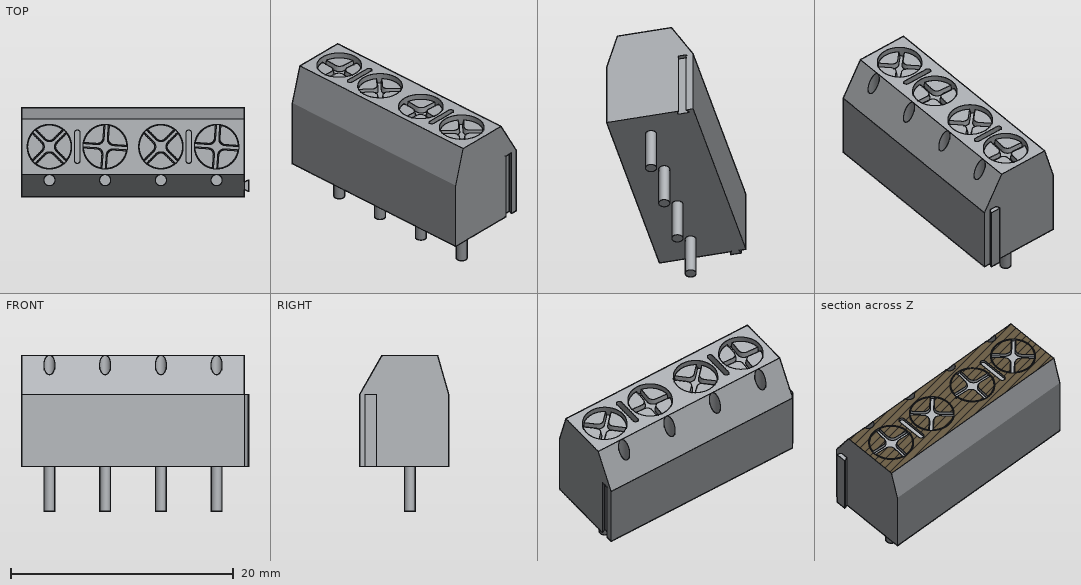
import cadquery as cq

MODULE_COUNT = 2
POLES_PER_MODULE = 2
PITCH = 5.0
MODULE_LENGTH = POLES_PER_MODULE * PITCH
BODY_LENGTH = MODULE_COUNT * MODULE_LENGTH
BODY_DEPTH = 8.0
BODY_HEIGHT = 10.0
SHOULDER_HEIGHT = 6.5
TOP_FRONT_Y = 2.0
TOP_BACK_Y = 7.0

POLE_Y = 4.5
PIN_DIAMETER = 1.0
PIN_LENGTH = 4.0

POCKET_DIAMETER = 4.0
POCKET_DEPTH = 0.5
SCREW_DIAMETER = 3.9
CROSS_WIDTH = 0.5
CROSS_CORNER_RADIUS = 0.5
CROSS_DEPTH = 0.5
CROSS_CUTTER_LENGTH = 1.5 * POCKET_DIAMETER
CROSS_TAPER = 12.0
SCREW_TOP_Z = BODY_HEIGHT - POCKET_DEPTH
CROSS_FLOOR_Z = SCREW_TOP_Z - CROSS_DEPTH
CROSS_ANGLES = (45.0, -4.0)

PROBE_DIAMETER = 1.0
PROBE_Y = 1.5
PROBE_FLOOR_Z = 5.0

SLOT_LENGTH = 3.0
SLOT_WIDTH = 0.5
SLOT_DEPTH = 1.0

JOINT_Y = 1.0
JOINT_DEPTH = 0.4
JOINT_MOUTH_WIDTH = 0.7
JOINT_TIP_WIDTH = 1.0
JOINT_LIP = 0.1


def module_block(start_x):
    """Plain housing prism of one module, extruded along +X."""
    return (
        cq.Workplane("YZ", origin=(start_x, 0, 0))
        .moveTo(0, 0)
        .lineTo(BODY_DEPTH, 0)
        .lineTo(BODY_DEPTH, SHOULDER_HEIGHT)
        .lineTo(TOP_BACK_Y, BODY_HEIGHT)
        .lineTo(TOP_FRONT_Y, BODY_HEIGHT)
        .lineTo(0, SHOULDER_HEIGHT)
        .close()
        .extrude(MODULE_LENGTH)
    )


def cylinder(x, y, bottom_z, top_z, diameter):
    return (
        cq.Workplane("XY", origin=(x, y, bottom_z))
        .circle(diameter / 2)
        .extrude(top_z - bottom_z)
    )


def screw_pocket(x):
    """Round pocket above the screw head, with a thin clearance ring down to the cross floor."""
    pocket = cylinder(x, POLE_Y, CROSS_FLOOR_Z, BODY_HEIGHT, POCKET_DIAMETER)
    screw_head = cylinder(x, POLE_Y, CROSS_FLOOR_Z, SCREW_TOP_Z, SCREW_DIAMETER)
    return pocket.cut(screw_head)


def cross_recess(x, angle):
    """Tapered cross running right across the screw head, with rounded inner corners."""
    corner_reach = CROSS_WIDTH
    inner_corners = cq.selectors.BoxSelector(
        (-corner_reach, -corner_reach, -corner_reach),
        (corner_reach, corner_reach, corner_reach),
    )
    outline = (
        cq.Sketch()
        .rect(CROSS_CUTTER_LENGTH, CROSS_WIDTH)
        .rect(CROSS_WIDTH, CROSS_CUTTER_LENGTH)
        .clean()
        .vertices(inner_corners)
        .fillet(CROSS_CORNER_RADIUS)
        .reset()
    )
    cutter = (
        cq.Workplane("XY")
        .placeSketch(outline)
        .extrude(-CROSS_DEPTH, taper=CROSS_TAPER)
        .rotate((0, 0, 0), (0, 0, 1), angle)
        .translate((x, POLE_Y, SCREW_TOP_Z))
    )
    return cutter.intersect(cylinder(x, POLE_Y, CROSS_FLOOR_Z, SCREW_TOP_Z, POCKET_DIAMETER))


def top_slot(x):
    return (
        cq.Workplane("XY", origin=(x, POLE_Y, BODY_HEIGHT))
        .slot2D(SLOT_LENGTH, SLOT_WIDTH, 90)
        .extrude(-SLOT_DEPTH)
    )


def dovetail(start_x):
    """Upright dovetail bar that widens toward +X and ends in a short straight lip."""
    mouth = JOINT_MOUTH_WIDTH / 2
    tip = JOINT_TIP_WIDTH / 2
    flare_end = JOINT_DEPTH - JOINT_LIP
    return (
        cq.Workplane("XY", origin=(start_x, JOINT_Y, 0))
        .moveTo(0, -mouth)
        .lineTo(flare_end, -tip)
        .lineTo(JOINT_DEPTH, -tip)
        .lineTo(JOINT_DEPTH, tip)
        .lineTo(flare_end, tip)
        .lineTo(0, mouth)
        .close()
        .extrude(SHOULDER_HEIGHT)
    )


result = module_block(0)
for module in range(1, MODULE_COUNT):
    result = result.union(module_block(module * MODULE_LENGTH), clean=False)

result = result.union(dovetail(BODY_LENGTH), clean=False).cut(dovetail(0), clean=False)

for module in range(MODULE_COUNT):
    module_x = module * MODULE_LENGTH
    result = result.cut(top_slot(module_x + MODULE_LENGTH / 2), clean=False)
    for pole in range(POLES_PER_MODULE):
        pole_x = module_x + (pole + 0.5) * PITCH
        probe_hole = cylinder(pole_x, PROBE_Y, PROBE_FLOOR_Z, BODY_HEIGHT, PROBE_DIAMETER)
        pin = cylinder(pole_x, POLE_Y, -PIN_LENGTH, 0, PIN_DIAMETER)
        result = result.cut(screw_pocket(pole_x), clean=False)
        result = result.cut(cross_recess(pole_x, CROSS_ANGLES[pole]), clean=False)
        result = result.cut(probe_hole, clean=False)
        result = result.union(pin, clean=False)